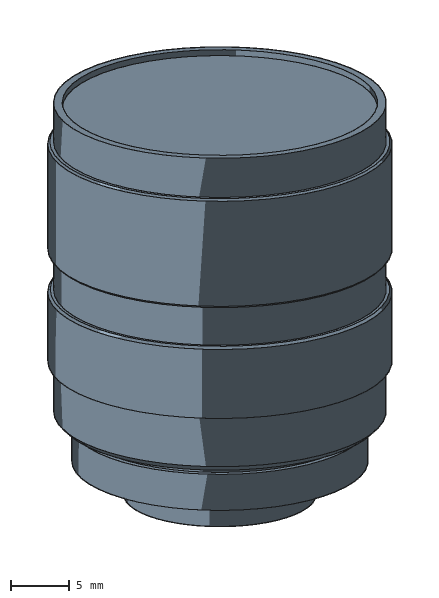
import cadquery as cq

mount_dia = 16.5
flange_dia = 25.4
neck_dia = 24.4
barrel_dia = 28.5
grip_dia = 29.5
recess_dia = 27.0

flange_bottom = 3.05
flange_top = 6.35
barrel_bottom = 7.1
rear_grip_bottom = 12.15
rear_grip_top = 18.62
front_grip_bottom = 22.15
front_grip_top = 32.05
total_height = 35.6

recess_depth = 0.55
barrel_chamfer = 0.5
rear_grip_chamfer = 0.2
front_grip_chamfer = 0.18


def ring(diameter, bottom, top):
    """Solid disc on the Z axis between two heights."""
    return cq.Workplane("XY").workplane(offset=bottom).circle(diameter / 2).extrude(top - bottom)


mount = ring(mount_dia, 0, flange_bottom)
flange = ring(flange_dia, flange_bottom, flange_top)
neck = ring(neck_dia, flange_top, barrel_bottom)
barrel = ring(barrel_dia, barrel_bottom, total_height).faces("<Z").edges().chamfer(barrel_chamfer)

rear_grip = ring(grip_dia, rear_grip_bottom, rear_grip_top).faces(">Z").edges().chamfer(rear_grip_chamfer)
front_grip = ring(grip_dia, front_grip_bottom, front_grip_top)
front_grip = front_grip.faces("<Z or >Z").edges().chamfer(front_grip_chamfer)

recess = ring(recess_dia, total_height - recess_depth, total_height)

result = mount.union(flange).union(neck).union(barrel).union(rear_grip).union(front_grip).cut(recess)